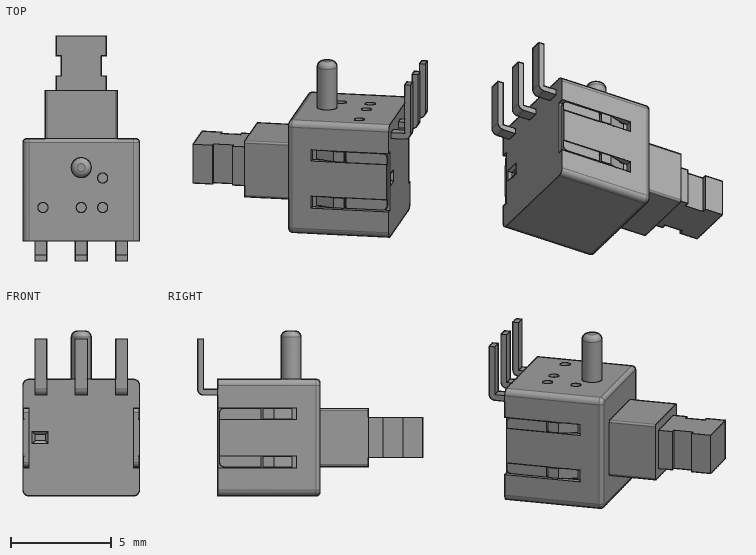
import cadquery as cq
import math


BODY_SIZE = 5.8
BODY_DEPTH = 5.1
BODY_EDGE_R = 0.3
BODY_FRONT_R = 0.2

COLLAR_WIDTH = 3.6
COLLAR_HEIGHT = 2.9
COLLAR_LENGTH = 2.4
COLLAR_EDGE_R = 0.1
BUTTON_WIDTH = 2.5
BUTTON_HEIGHT = 2.0
NOTCH_DEPTH = 0.25
NOTCH_LENGTH = 1.0
NOTCH_FROM_TIP = 1.0

POST_DIAMETER = 1.0
POST_HEIGHT = 2.4
POST_TIP_R = 0.3
POST_Y = 3.65

HOLE_DIAMETER = 0.5
HOLE_DEPTH = 0.2
HOLE_CENTERS = [(-1.9, 1.67), (0, 1.67), (1.06, 1.67), (1.06, 3.14)]

PIN_PITCH = 2.0
PIN_WIDTH = 0.6
PIN_THICKNESS = 0.3
PIN_REACH = 1.0
PIN_DROP = 0.8
PIN_RISE = 2.0

RECESS_DEPTH = 0.3
RECESS_TOP = 1.48
RECESS_BOTTOM = -1.52
RECESS_LENGTH = 3.92
STEM_HEIGHT = 1.81
LATCH_HEIGHT = 2.9
LATCH_INSET = 0.03
LATCH_PIN_GAP = 0.1
HEAD_LENGTH = 2.06
HEAD_CORNER_R = 0.2
HOOK_GAP = 0.1
HOOK_HEIGHT = 0.52
HOOK_FLAT = 0.54
HOOK_RAMP = 0.91

POCKET_X = -2.04
POCKET_WIDTH = 0.8
POCKET_HEIGHT = 0.6
POCKET_CHAMFER = 0.15
POCKET_DEPTH = 0.3

BODY_HALF = BODY_SIZE / 2
COLLAR_END = BODY_DEPTH + COLLAR_LENGTH
TOTAL_LENGTH = 11.2
BUTTON_TIP = TOTAL_LENGTH - PIN_REACH


def block(x_range, y_range, z_range):
    """Box between the given limits."""
    sizes = [high - low for low, high in (x_range, y_range, z_range)]
    corner = (x_range[0], y_range[0], z_range[0])
    return cq.Workplane("XY").box(*sizes, centered=False).translate(corner)


def centered_block(width, height, y_range):
    """Box centred on the Y axis."""
    return block((-width / 2, width / 2), y_range, (-height / 2, height / 2))


def make_housing():
    housing = centered_block(BODY_SIZE, BODY_SIZE, (0, BODY_DEPTH))
    return housing.edges("|Y").fillet(BODY_EDGE_R).faces(">Y").edges().fillet(BODY_FRONT_R)


def make_collar():
    collar = centered_block(COLLAR_WIDTH, COLLAR_HEIGHT, (BODY_DEPTH, COLLAR_END))
    return collar.edges("|Y").fillet(COLLAR_EDGE_R)


def make_button():
    button = centered_block(BUTTON_WIDTH, BUTTON_HEIGHT, (COLLAR_END, BUTTON_TIP))
    notch_end = BUTTON_TIP - NOTCH_FROM_TIP
    for side in (-1, 1):
        notch = centered_block(2 * NOTCH_DEPTH, BUTTON_HEIGHT, (notch_end - NOTCH_LENGTH, notch_end))
        button = button.cut(notch.translate((side * BUTTON_WIDTH / 2, 0, 0)))
    return button


def make_post():
    post = cq.Workplane("XY", origin=(0, POST_Y, BODY_HALF)).circle(POST_DIAMETER / 2).extrude(POST_HEIGHT)
    return post.faces(">Z").edges().fillet(POST_TIP_R)


def make_pin(x):
    """Flat strip leaving the housing and bent upward, rounded on the outside of the bend."""
    bottom = BODY_HALF - PIN_DROP
    tip = BODY_HALF + PIN_RISE
    diagonal = PIN_THICKNESS * math.sqrt(0.5)
    bend_y = -PIN_REACH + PIN_THICKNESS
    bend_z = bottom + PIN_THICKNESS
    return (
        cq.Workplane("YZ", origin=(x, 0, 0))
        .moveTo(0, bottom)
        .lineTo(bend_y, bottom)
        .threePointArc((bend_y - diagonal, bend_z - diagonal), (-PIN_REACH, bend_z))
        .lineTo(-PIN_REACH, tip)
        .lineTo(bend_y, tip)
        .lineTo(bend_y, bend_z)
        .lineTo(0, bend_z)
        .close()
        .extrude(PIN_WIDTH / 2, both=True)
    )


def make_latch_recess():
    """Recess in the -X side, open to the pin-side face."""
    return block((-BODY_HALF, -BODY_HALF + RECESS_DEPTH), (0, RECESS_LENGTH), (RECESS_BOTTOM, RECESS_TOP))


def make_latch():
    """T-shaped latch and its two ramped hooks, filling part of the -X recess."""
    floor_x = -BODY_HALF + RECESS_DEPTH
    inset_x = -BODY_HALF + LATCH_INSET
    half_latch = LATCH_HEIGHT / 2
    half_stem = STEM_HEIGHT / 2
    head_end = LATCH_PIN_GAP + HEAD_LENGTH
    hook_start = head_end + HOOK_GAP
    ramp_start = hook_start + HOOK_FLAT

    stem = block((-BODY_HALF, floor_x), (LATCH_PIN_GAP, RECESS_LENGTH), (-half_stem, half_stem))
    head = block((inset_x, floor_x), (LATCH_PIN_GAP, head_end), (-half_latch, half_latch))
    head = head.faces("<Y").edges("|X").fillet(HEAD_CORNER_R)

    hook_outline = [
        (floor_x, hook_start),
        (-BODY_HALF, hook_start),
        (-BODY_HALF, ramp_start),
        (floor_x, ramp_start + HOOK_RAMP),
    ]
    hook = cq.Workplane("XY").polyline(hook_outline).close().extrude(HOOK_HEIGHT)

    latch = stem.union(head)
    for hook_bottom in (-half_latch, half_latch - HOOK_HEIGHT):
        latch = latch.union(hook.translate((0, 0, hook_bottom)))
    return latch


def make_pocket():
    """Straight pocket with a wide chamfer around its mouth."""
    floor_width = POCKET_WIDTH - 2 * POCKET_CHAMFER
    floor_height = POCKET_HEIGHT - 2 * POCKET_CHAMFER
    chamfered_mouth = (
        cq.Workplane("XZ")
        .rect(POCKET_WIDTH, POCKET_HEIGHT)
        .workplane(offset=-POCKET_CHAMFER)
        .rect(floor_width, floor_height)
        .loft()
    )
    straight_part = centered_block(floor_width, floor_height, (0, POCKET_DEPTH))
    return chamfered_mouth.union(straight_part).translate((POCKET_X, 0, 0))


housing = make_housing()
recess = make_latch_recess()
latch = make_latch()
housing = housing.cut(recess).cut(recess.mirror("YZ"))
housing = housing.union(latch).union(latch.mirror("YZ"))
housing = housing.cut(make_pocket())

hole_plane = cq.Workplane("XY", origin=(0, 0, BODY_HALF))
housing = housing.cut(hole_plane.pushPoints(HOLE_CENTERS).circle(HOLE_DIAMETER / 2).extrude(-HOLE_DEPTH))

result = housing.union(make_collar()).union(make_button()).union(make_post())
for pin_x in (-PIN_PITCH, 0, PIN_PITCH):
    result = result.union(make_pin(pin_x))